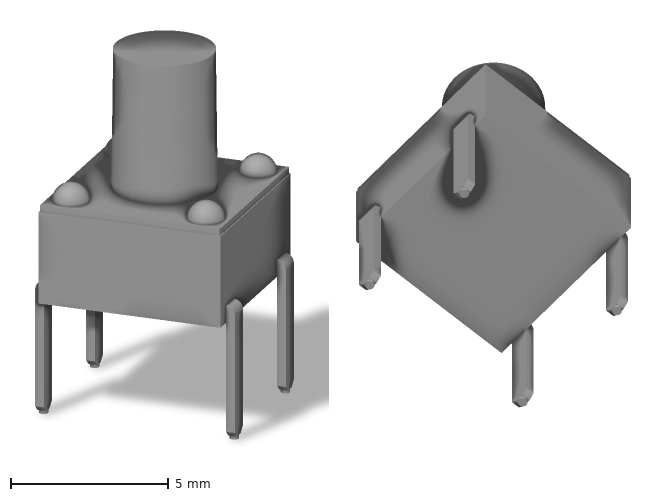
import cadquery as cq

total_height = 12.0
body_side = 6.2
leg_thickness = 0.3

body_bottom = 4.01
body_top = 7.1
cover_top = 7.33
leg_top = 4.58

cover_side = 6.12
dome_radius = 0.6
dome_offset = 2.3
button_base_radius = 1.7
button_top_radius = 1.65

leg_width = 0.71
leg_offset = 2.25
tip_length = 0.12
taper_height = 0.19
taper_end_width = 0.31


def make_housing():
    """Square body with a slightly smaller cover plate on top."""
    body = (
        cq.Workplane("XY", origin=(0, 0, body_bottom))
        .rect(body_side, body_side)
        .extrude(body_top - body_bottom)
    )
    cover = (
        cq.Workplane("XY", origin=(0, 0, body_top))
        .rect(cover_side, cover_side)
        .extrude(cover_top - body_top)
    )
    return body.union(cover)


def make_button():
    """Round button narrowing slightly towards its top."""
    button_height = total_height - cover_top
    return (
        cq.Workplane("XY", origin=(0, 0, cover_top))
        .circle(button_base_radius)
        .workplane(offset=button_height)
        .circle(button_top_radius)
        .loft()
    )


def make_dome(x, y):
    """Hemisphere resting on the cover plate."""
    return (
        cq.Workplane("XZ", origin=(x, y, cover_top))
        .lineTo(dome_radius, 0)
        .radiusArc((0, dome_radius), -dome_radius)
        .close()
        .revolve(360, (0, 0), (0, 1))
    )


def make_leg(y):
    """Leg on the +X face: rounded shoulder, tapered end and round tip."""
    inner_x = body_side / 2
    taper_top = tip_length + taper_height
    blade = (
        cq.Workplane("YZ", origin=(inner_x, y, 0))
        .moveTo(-taper_end_width / 2, tip_length)
        .lineTo(taper_end_width / 2, tip_length)
        .lineTo(leg_width / 2, taper_top)
        .lineTo(leg_width / 2, leg_top)
        .lineTo(-leg_width / 2, leg_top)
        .lineTo(-leg_width / 2, taper_top)
        .close()
        .extrude(leg_thickness)
    )
    shoulder_bottom = leg_top - leg_thickness
    shoulder_profile = (
        cq.Workplane("XZ", origin=(inner_x, y, 0))
        .lineTo(leg_thickness, 0)
        .lineTo(leg_thickness, shoulder_bottom)
        .radiusArc((0, leg_top), -leg_thickness)
        .close()
        .extrude(leg_width / 2, both=True)
    )
    tip = (
        cq.Workplane("XY", origin=(inner_x + leg_thickness / 2, y, 0))
        .circle(leg_thickness / 2)
        .extrude(tip_length)
    )
    return blade.intersect(shoulder_profile).union(tip)


result = make_housing().union(make_button())

for x_side in (-1, 1):
    for y_side in (-1, 1):
        result = result.union(make_dome(x_side * dome_offset, y_side * dome_offset))

for y_side in (-1, 1):
    leg = make_leg(y_side * leg_offset)
    result = result.union(leg).union(leg.mirror("YZ"))